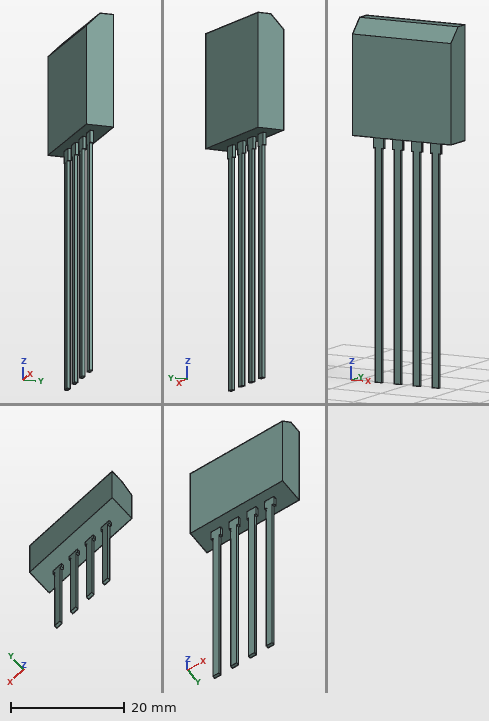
import cadquery as cq

housing_width = 19.9
housing_depth = 5.15
housing_height = 20.8
bevel = 2.6

total_height = 65.0
lead_count = 4
lead_pitch = 3.85
lead_thickness = 0.6
lead_width = 1.3
shoulder_width = 2.0
shoulder_length = 2.2
lead_offset = 0.4

lead_length = total_height - housing_height


def make_housing():
    """Block standing on Z = 0, bevelled along the top -Y edge."""
    front = -housing_depth / 2
    back = housing_depth / 2
    profile = [
        (front, 0),
        (back, 0),
        (back, housing_height),
        (front + bevel, housing_height),
        (front, housing_height - bevel),
    ]
    return (
        cq.Workplane("YZ")
        .polyline(profile)
        .close()
        .extrude(housing_width / 2, both=True)
    )


def make_lead(x_center):
    """Stepped flat lead hanging from the housing's bottom face."""
    half_shoulder = shoulder_width / 2
    half_lead = lead_width / 2
    outline = [
        (-half_shoulder, 0),
        (half_shoulder, 0),
        (half_shoulder, -shoulder_length),
        (half_lead, -shoulder_length),
        (half_lead, -lead_length),
        (-half_lead, -lead_length),
        (-half_lead, -shoulder_length),
        (-half_shoulder, -shoulder_length),
    ]
    return (
        cq.Workplane("XZ")
        .polyline(outline)
        .close()
        .extrude(lead_thickness / 2, both=True)
        .translate((x_center, -lead_offset, 0))
    )


housing = make_housing()

first_lead_x = -lead_pitch * (lead_count - 1) / 2
leads = [make_lead(first_lead_x + i * lead_pitch) for i in range(lead_count)]

result = cq.Compound.makeCompound([housing.val(), *[lead.val() for lead in leads]])